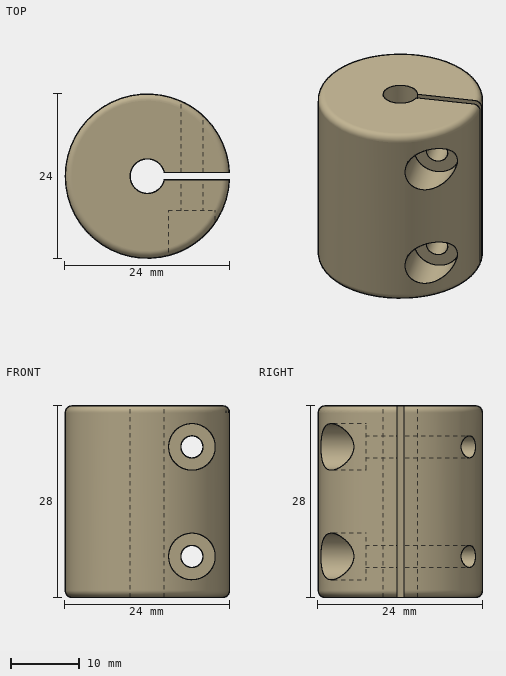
import cadquery as cq

height = 28.0
body_diameter = 24.0
edge_radius = 1.0
bore_diameter = 5.0
slit_width = 1.0

screw_offset = 6.5
screw_spacing = 16.0
screw_hole_diameter = 3.2
head_diameter = 6.8
head_seat_distance = 5.0

body_radius = body_diameter / 2


def rounded_body():
    body = cq.Workplane("XY").circle(body_radius).extrude(height)
    return body.faces("<Z or >Z").edges().fillet(edge_radius)


def bore():
    return cq.Workplane("XY").circle(bore_diameter / 2).extrude(height)


def slit():
    """Radial cut from the bore axis out through the +X side."""
    return cq.Workplane("XY").box(body_radius, slit_width, height, centered=(False, True, False))


def clamp_screw(z):
    """Through hole along Y with a head recess opening on the -Y side."""
    front = cq.Workplane("XZ", origin=(screw_offset, -body_radius, z))
    hole = front.circle(screw_hole_diameter / 2).extrude(-body_diameter)
    recess = front.circle(head_diameter / 2).extrude(head_seat_distance - body_radius)
    return hole.union(recess)


result = rounded_body().cut(bore()).cut(slit())
for side in (-1, 1):
    result = result.cut(clamp_screw(height / 2 + side * screw_spacing / 2))